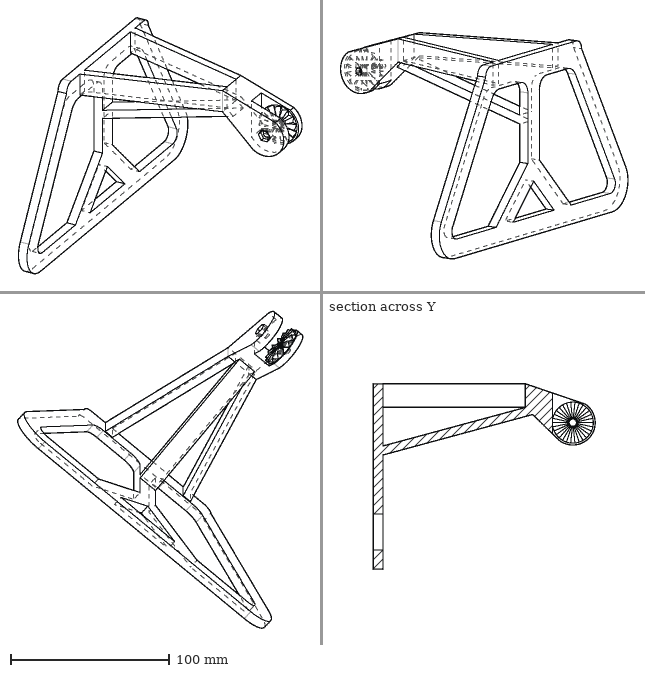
import cadquery as cq
import math


height = 117.5
bottom_width = 209.3
plate_thickness = 6.3
side_angle = math.radians(60)
bottom_corner_radius = 17.5
top_corner_radius = 6.0
top_rail = 16.3
bottom_rail = 12.3
side_rail = 13.5
stem_width = 13.0
stem_end_z = -70.0
brace_apex_z = -82.5
upper_window_radius = 10.0
stem_window_radius = 8.0
lower_window_radius = 5.7

arm_width_y = 6.0
arm_height = 15.0
arm_root_y = 36.0
strut_thickness_z = 5.9
strut_root_z = -39.3

length = 140.5
clevis_start_x = 96.0
clevis_half_width = 12.0
lug_radius = 14.2
lug_arc_angle = math.radians(55)
pivot_x = length - lug_radius
pivot_z = -24.7
slot_start_x = 113.5
slot_min_y = -5.2
slot_max_y = 7.3
hole_diameter = 4.5
nut_across_corners = 8.4
nut_depth = 3.1

ring_diameter = 26.0
ring_bore = 6.0
tooth_count = 15
tooth_height = 3.1
tooth_phase = 6.0


def side_line_y(z, inset=0.0):
    """Half-width of the sloping side at height z, moved inward by inset."""
    corner_center_y = bottom_width / 2 - bottom_corner_radius
    corner_center_z = bottom_corner_radius - height
    reach = (bottom_corner_radius - inset) / math.sin(side_angle)
    return corner_center_y + reach - (z - corner_center_z) / math.tan(side_angle)


def frame_prism(points):
    return cq.Workplane("YZ").polyline(points).close().extrude(plate_thickness)


def round_corner(body, point, radius):
    """Round the edge along X that passes through a (y, z) point."""
    middle = (plate_thickness / 2, *point)
    return body.edges(cq.NearestToPointSelector(middle)).fillet(radius)


def make_window(side):
    """Opening on one side of the stem; side is +1 or -1."""
    top_z = -top_rail
    bottom_z = bottom_rail - height
    stem_y = side * stem_width / 2
    upper = (side * side_line_y(top_z, side_rail), top_z)
    lower = (side * side_line_y(bottom_z, side_rail), bottom_z)
    stem_top = (stem_y, top_z)
    stem_end = (stem_y, stem_end_z)
    brace_foot = (stem_y + side * (stem_end_z - bottom_z), bottom_z)
    window = frame_prism([stem_top, upper, lower, brace_foot, stem_end])
    window = round_corner(window, upper, upper_window_radius)
    window = round_corner(window, lower, lower_window_radius)
    return round_corner(window, stem_top, stem_window_radius)


def make_frame():
    """Frame plate with quarter-circle top corners, two side windows and a triangular one."""
    bottom = side_line_y(-height)
    shoulder = side_line_y(-top_corner_radius)
    top_flat = shoulder - top_corner_radius
    arc_rise = top_corner_radius * math.sin(math.pi / 4)
    arc_y = top_flat + arc_rise
    arc_z = arc_rise - top_corner_radius
    frame = (
        cq.Workplane("YZ")
        .moveTo(-top_flat, 0)
        .lineTo(top_flat, 0)
        .threePointArc((arc_y, arc_z), (shoulder, -top_corner_radius))
        .lineTo(bottom, -height)
        .lineTo(-bottom, -height)
        .lineTo(-shoulder, -top_corner_radius)
        .threePointArc((-arc_y, arc_z), (-top_flat, 0))
        .close()
        .extrude(plate_thickness)
    )
    for side in (-1, 1):
        frame = round_corner(frame, (side * bottom, -height), bottom_corner_radius)
    for side in (-1, 1):
        frame = frame.cut(make_window(side))
    base_z = bottom_rail - height
    half_base = brace_apex_z - base_z
    return frame.cut(frame_prism([(-half_base, base_z), (half_base, base_z), (0, brace_apex_z)]))


def make_arm(side):
    """Level arm running from the frame to one side of the clevis."""
    outline = [
        (plate_thickness, side * arm_root_y),
        (clevis_start_x, side * clevis_half_width),
        (clevis_start_x, side * (clevis_half_width - arm_width_y)),
        (plate_thickness, side * (arm_root_y - arm_width_y)),
    ]
    return cq.Workplane("XY").polyline(outline).close().extrude(-arm_height)


def make_strut():
    """Sloping strut on the symmetry plane, ending on the sloping clevis underside."""
    slope = (-arm_height - strut_root_z) / (clevis_start_x - plate_thickness)
    lug_low_x, lug_low_z = lug_rim_point(lug_arc_angle - math.pi)
    underside_slope = (-arm_height - lug_low_z) / (lug_low_x - clevis_start_x)
    underside_run = strut_thickness_z / (underside_slope + slope)
    outline = [
        (plate_thickness, strut_root_z),
        (clevis_start_x, -arm_height),
        (clevis_start_x + underside_run, -arm_height - underside_slope * underside_run),
        (plate_thickness, strut_root_z - strut_thickness_z),
    ]
    return cq.Workplane("XZ").polyline(outline).close().extrude(stem_width / 2, both=True)


def lug_rim_point(angle):
    """Point on the lug rim at an angle measured from +X toward +Z."""
    return (pivot_x + lug_radius * math.cos(angle), pivot_z + lug_radius * math.sin(angle))


def pivot_plane(y):
    """Plane across the pivot axis at y, facing -Y."""
    return cq.Workplane("XZ", origin=(pivot_x, y, pivot_z))


def make_clevis():
    clevis = (
        cq.Workplane("XZ")
        .moveTo(clevis_start_x, 0)
        .lineTo(*lug_rim_point(lug_arc_angle))
        .threePointArc((length, pivot_z), lug_rim_point(lug_arc_angle - math.pi))
        .lineTo(clevis_start_x, -arm_height)
        .close()
        .extrude(clevis_half_width, both=True)
    )
    slot = cq.Workplane("XY").box(
        length - slot_start_x, slot_max_y - slot_min_y, height, centered=(False, False, True)
    )
    return clevis.cut(slot.translate((slot_start_x, slot_min_y, 0)))


def make_tooth_ring():
    """Ring of radial V-shaped teeth that narrow toward the pivot axis."""
    outer_radius = ring_diameter / 2
    half_angle = math.pi / tooth_count
    root_y = slot_max_y + 0.2
    blank_radius = outer_radius / math.cos(half_angle)
    inner_radius = ring_bore / 4

    def tooth_section(radius):
        half_width = radius * math.tan(half_angle)
        corners = [
            (-half_width, root_y, radius),
            (-half_width, slot_max_y, radius),
            (0, slot_max_y - tooth_height, radius),
            (half_width, slot_max_y, radius),
            (half_width, root_y, radius),
        ]
        return cq.Wire.makePolygon([cq.Vector(*corner) for corner in corners], close=True)

    tooth = cq.Solid.makeLoft([tooth_section(inner_radius), tooth_section(blank_radius)], True)
    envelope = (
        pivot_plane(root_y)
        .circle(outer_radius)
        .circle(ring_bore / 2)
        .extrude(tooth_height + root_y - slot_max_y)
    )
    teeth = cq.Workplane("XY")
    for index in range(tooth_count):
        angle = index * 360 / tooth_count - tooth_phase
        turned = tooth.rotate(cq.Vector(0, 0, 0), cq.Vector(0, 1, 0), angle)
        placed = turned.translate(cq.Vector(pivot_x, 0, pivot_z))
        teeth = teeth.add(envelope.intersect(cq.Workplane(placed)))
    return teeth


result = make_frame().union(make_strut()).union(make_clevis())
for arm_side in (-1, 1):
    result = result.union(make_arm(arm_side))
for tooth_solid in make_tooth_ring().vals():
    result = result.union(cq.Workplane(tooth_solid))

pivot_hole = pivot_plane(0).circle(hole_diameter / 2).extrude(2 * clevis_half_width, both=True)
nut_recess = pivot_plane(nut_depth - clevis_half_width).polygon(6, nut_across_corners).extrude(nut_depth)
result = result.cut(pivot_hole).cut(nut_recess)